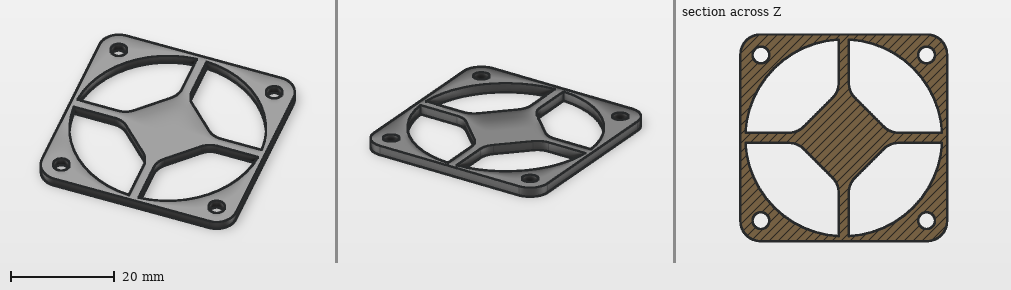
import cadquery as cq

side = 40.0
thickness = 2.0
corner_radius = 4.0

hole_diameter = 3.2
hole_spacing = side - 2 * corner_radius

opening_diameter = 38.0
spoke_width = 2.0
hub_side = 14.0
spoke_fillet = 4.0


def make_plate():
    """Square plate with rounded corners, lying on Z = 0."""
    plate = cq.Workplane("XY").rect(side, side).extrude(thickness)
    return plate.edges("|Z").fillet(corner_radius)


def make_spider():
    """Hub and crossed spokes, with the inner corners between them rounded."""
    hub = cq.Workplane("XY").rect(hub_side, hub_side).extrude(thickness)
    hub = hub.rotate((0, 0, 0), (0, 0, 1), 45)
    spoke_x = cq.Workplane("XY").rect(side, spoke_width).extrude(thickness)
    spoke_y = cq.Workplane("XY").rect(spoke_width, side).extrude(thickness)
    spider = hub.union(spoke_x).union(spoke_y)
    hub_corners = cq.selectors.BoxSelector(
        (-hub_side, -hub_side, 0), (hub_side, hub_side, thickness)
    )
    return spider.edges("|Z").edges(hub_corners).fillet(spoke_fillet)


opening = cq.Workplane("XY").circle(opening_diameter / 2).extrude(thickness)
windows = opening.cut(make_spider())

result = (
    make_plate()
    .cut(windows)
    .faces(">Z")
    .workplane(origin=(0, 0, thickness))
    .rect(hole_spacing, hole_spacing, forConstruction=True)
    .vertices()
    .hole(hole_diameter)
)